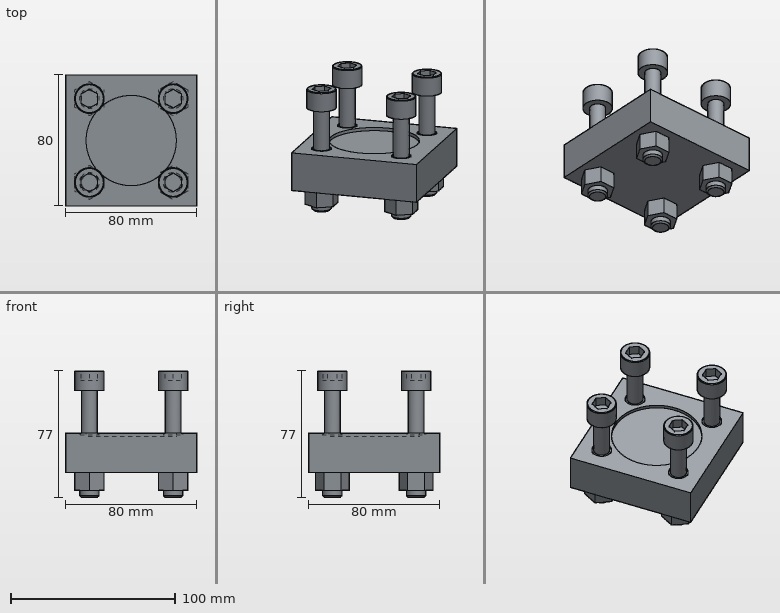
import cadquery as cq
import math

plate_side = 80.0
plate_thickness = 24.0
recess_diameter = 55.0
recess_depth = 2.0

screw_spacing = 51.0
thread_diameter = 12.0
neck_diameter = 9.85
neck_exposed_length = 26.0

head_diameter = 18.0
head_height = 12.0
head_chamfer = 0.5
socket_across_flats = 10.0
socket_depth = 6.0

nut_across_flats = 18.0
nut_height = 10.8
tip_length = 4.2
thread_chamfer = (thread_diameter - neck_diameter) / 2

head_bottom_z = plate_thickness + neck_exposed_length
head_top_z = head_bottom_z + head_height
tip_z = -(nut_height + tip_length)


def cylinder(diameter, bottom_z, top_z):
    """Round bar on the Z axis between two heights."""
    return cq.Workplane("XY").workplane(offset=bottom_z).circle(diameter / 2).extrude(top_z - bottom_z)


def hexagon(across_flats, bottom_z, top_z):
    """Hexagonal bar on the Z axis, with two flats facing +X and -X."""
    across_corners = across_flats / math.cos(math.radians(30))
    return (
        cq.Workplane("XY")
        .workplane(offset=bottom_z)
        .transformed(rotate=(0, 0, 90))
        .polygon(6, across_corners)
        .extrude(top_z - bottom_z)
    )


def make_plate():
    """Square plate with a round recess in its top and a close-fitting hole for each screw."""
    plate = cq.Workplane("XY").box(plate_side, plate_side, plate_thickness, centered=(True, True, False))
    recess = cylinder(recess_diameter, plate_thickness - recess_depth, plate_thickness)
    holes = (
        cq.Workplane("XY")
        .rect(screw_spacing, screw_spacing, forConstruction=True)
        .vertices()
        .circle(thread_diameter / 2)
        .extrude(plate_thickness)
    )
    return plate.cut(recess).cut(holes)


def make_screw():
    """Socket head screw whose thread is chamfered to the neck diameter at both ends, with its nut."""
    head = cylinder(head_diameter, head_bottom_z, head_top_z).faces(">Z").chamfer(head_chamfer)
    socket = hexagon(socket_across_flats, head_top_z - socket_depth, head_top_z)
    neck = cylinder(neck_diameter, plate_thickness, head_bottom_z)
    thread = cylinder(thread_diameter, tip_z, plate_thickness).faces("<Z or >Z").chamfer(thread_chamfer)
    nut = hexagon(nut_across_flats, -nut_height, 0)
    return head.cut(socket).union(neck).union(thread).union(nut)


def make_assembly():
    """Plate joined with a screw in each corner."""
    assembly = make_plate()
    screw = make_screw()
    for x_side in (-1, 1):
        for y_side in (-1, 1):
            position = (x_side * screw_spacing / 2, y_side * screw_spacing / 2, 0)
            assembly = assembly.union(screw.translate(position))
    return assembly


result = make_assembly()